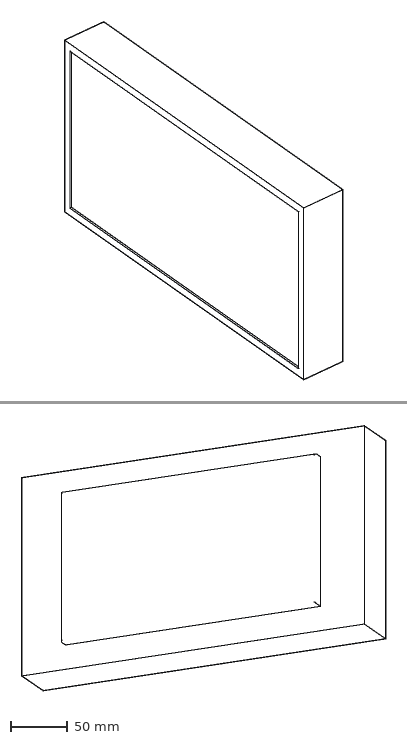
import cadquery as cq

width = 336.0
height = 186.0
total_depth = 55.0
back_depth = 10.0
body_depth = total_depth - back_depth

bezel_side = 7.5
bezel_end = 8.0
screen_recess = 2.0

back_width = 250.0
back_height = 140.5
back_edge_radius = 1.7


def make_body():
    return cq.Workplane("XY").box(width, body_depth, height, centered=(True, False, True))


def make_screen_recess():
    return cq.Workplane("XY").box(
        width - 2 * bezel_side,
        screen_recess,
        height - 2 * bezel_end,
        centered=(True, False, True),
    )


def make_back_cover():
    cover = cq.Workplane("XY").box(back_width, back_depth, back_height, centered=(True, False, True))
    cover = cover.faces(">Y").edges().fillet(back_edge_radius)
    return cover.translate((0, body_depth, 0))


result = make_body().cut(make_screen_recess()).union(make_back_cover())